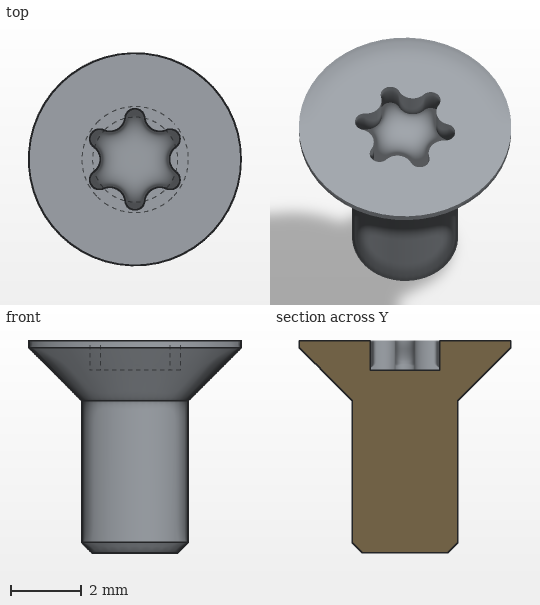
import cadquery as cq
import math

total_length = 6.0
head_radius = 3.0
shank_radius = 1.5
rim_height = 0.2
cone_height = head_radius - shank_radius
tip_chamfer = 0.3

lobe_count = 6
socket_outer_radius = 1.43
socket_inner_radius = 0.98
lobe_radius = 0.275
socket_depth = 0.83


def polar(radius, angle):
    return (radius * math.cos(angle), radius * math.sin(angle))


def make_body():
    cone_top = total_length - rim_height
    cone_bottom = cone_top - cone_height
    profile = [
        (0, 0),
        (shank_radius - tip_chamfer, 0),
        (shank_radius, tip_chamfer),
        (shank_radius, cone_bottom),
        (head_radius, cone_top),
        (head_radius, total_length),
        (0, total_length),
    ]
    return cq.Workplane("XZ").polyline(profile).close().revolve(360, (0, 0, 0), (0, 1, 0))


def make_socket():
    half_pitch = math.pi / lobe_count
    lobe_center = socket_outer_radius - lobe_radius
    along_flank = lobe_center * math.cos(half_pitch)
    flank_radius = (
        socket_inner_radius**2 + lobe_center**2 - 2 * socket_inner_radius * along_flank - lobe_radius**2
    ) / (2 * (lobe_radius + along_flank - socket_inner_radius))
    flank_center = socket_inner_radius + flank_radius

    share = lobe_radius / (lobe_radius + flank_radius)
    tangent_x = lobe_center + share * (flank_center * math.cos(half_pitch) - lobe_center)
    tangent_y = share * flank_center * math.sin(half_pitch)
    tangent_distance = math.hypot(tangent_x, tangent_y)
    tangent_angle = math.atan2(tangent_y, tangent_x)

    first_lobe = math.pi / 2
    outline = cq.Workplane("XY", origin=(0, 0, total_length - socket_depth))
    outline = outline.moveTo(*polar(tangent_distance, first_lobe - tangent_angle))
    for index in range(lobe_count):
        lobe = first_lobe + 2 * half_pitch * index
        next_lobe = lobe + 2 * half_pitch
        outline = outline.threePointArc(
            polar(socket_outer_radius, lobe), polar(tangent_distance, lobe + tangent_angle)
        )
        outline = outline.threePointArc(
            polar(socket_inner_radius, lobe + half_pitch), polar(tangent_distance, next_lobe - tangent_angle)
        )
    return outline.close().extrude(socket_depth)


result = make_body().cut(make_socket())